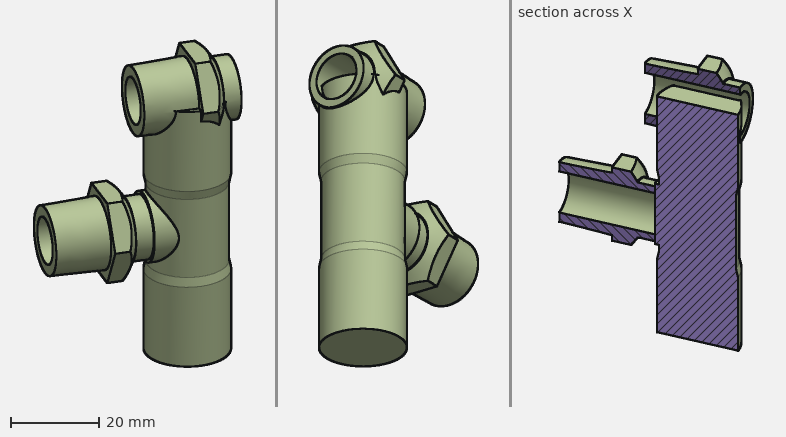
import cadquery as cq
import math

socket_diameter = 20.0
socket_length = 20.0
waist_diameter = 19.0
shoulder_length = 2.2
run_length = 64.0
branch_diameter = 16.5
branch_length = 10.5
branch_height = run_length / 2

neck_diameter = 15.0
neck_length = 4.2
hex_across_flats = 20.0
hex_across_corners = hex_across_flats / math.cos(math.radians(30))
hex_length = 6.3
hex_bevel_diameter = 15.4
hex_bevel_length = 2.7
spigot_root_diameter = 17.1
spigot_tip_diameter = 16.3
spigot_length = 12.95
adapter_length = neck_length + hex_length + spigot_length
bore_diameter = 11.0

lower_adapter_place = (-branch_length, branch_height)
upper_adapter_place = (branch_length, run_length)


def make_tee():
    socket_radius = socket_diameter / 2
    waist_radius = waist_diameter / 2
    upper_socket_start = run_length - socket_length
    run = (
        cq.Workplane("XZ")
        .moveTo(0, 0)
        .lineTo(socket_radius, 0)
        .lineTo(socket_radius, socket_length)
        .lineTo(waist_radius, socket_length + shoulder_length)
        .lineTo(waist_radius, upper_socket_start - shoulder_length)
        .lineTo(socket_radius, upper_socket_start)
        .lineTo(socket_radius, run_length)
        .lineTo(0, run_length)
        .close()
        .revolve(360, (0, 0, 0), (0, 1, 0))
    )
    branch = (
        cq.Workplane("XZ", origin=(0, 0, branch_height))
        .circle(branch_diameter / 2)
        .extrude(branch_length)
    )
    return run.union(branch)


def make_beveled_hexagon():
    """Hexagon along -Y whose neck-side corners are turned to a cone."""
    hexagon = (
        cq.Workplane("XZ", origin=(0, -neck_length, 0))
        .polygon(6, hex_across_corners)
        .extrude(hex_length)
    )
    corner_radius = hex_across_corners / 2
    hex_end = -(neck_length + hex_length)
    bevel_envelope = (
        cq.Workplane("XY")
        .moveTo(0, -neck_length)
        .lineTo(hex_bevel_diameter / 2, -neck_length)
        .lineTo(corner_radius, -(neck_length + hex_bevel_length))
        .lineTo(corner_radius, hex_end)
        .lineTo(0, hex_end)
        .close()
        .revolve(360, (0, 0, 0), (0, 1, 0))
    )
    return hexagon.intersect(bevel_envelope)


def make_adapter(place):
    """Adapter pointing toward -Y, with its neck end at the given (Y, Z)."""
    neck = cq.Workplane("XZ").circle(neck_diameter / 2).extrude(neck_length)
    spigot_start = -(neck_length + hex_length)
    spigot = (
        cq.Workplane("XY")
        .moveTo(0, spigot_start)
        .lineTo(spigot_root_diameter / 2, spigot_start)
        .lineTo(spigot_tip_diameter / 2, -adapter_length)
        .lineTo(0, -adapter_length)
        .close()
        .revolve(360, (0, 0, 0), (0, 1, 0))
    )
    bore = cq.Workplane("XZ").circle(bore_diameter / 2).extrude(adapter_length)
    adapter = neck.union(make_beveled_hexagon()).union(spigot).cut(bore)
    place_y, place_z = place
    return adapter.translate((0, place_y, place_z))


tee = make_tee()

adapters = []
for place in (lower_adapter_place, upper_adapter_place):
    adapters.append(make_adapter(place).cut(tee))

result = cq.Compound.makeCompound([tee.val(), *[adapter.val() for adapter in adapters]])